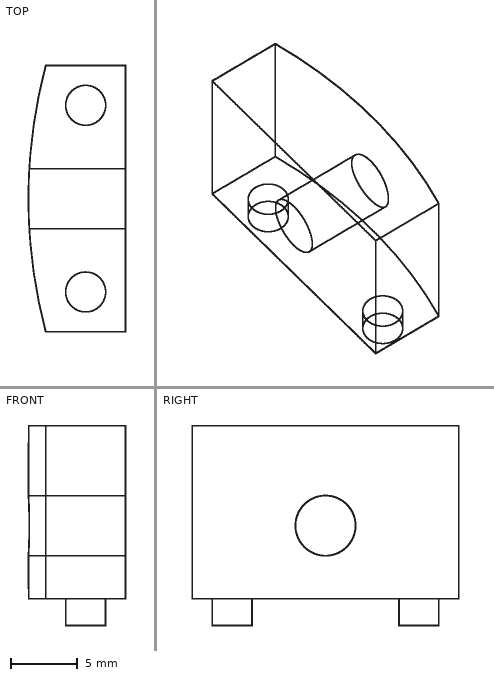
import cadquery as cq

length = 20.0
body_height = 13.0
full_depth = 7.3
end_depth = 6.0

hole_diameter = 4.5
hole_height = 5.5

pin_diameter = 3.0
pin_length = 2.0
pin_spacing = 14.0
pin_x = -end_depth / 2

body = (
    cq.Workplane("XY")
    .moveTo(0, -length / 2)
    .lineTo(-end_depth, -length / 2)
    .threePointArc((-full_depth, 0), (-end_depth, length / 2))
    .lineTo(0, length / 2)
    .close()
    .extrude(body_height)
)

hole = (
    cq.Workplane("YZ")
    .center(0, hole_height)
    .circle(hole_diameter / 2)
    .extrude(-full_depth)
)

pins = (
    cq.Workplane("XY")
    .pushPoints([(pin_x, -pin_spacing / 2), (pin_x, pin_spacing / 2)])
    .circle(pin_diameter / 2)
    .extrude(-pin_length)
)

result = body.cut(hole).union(pins)